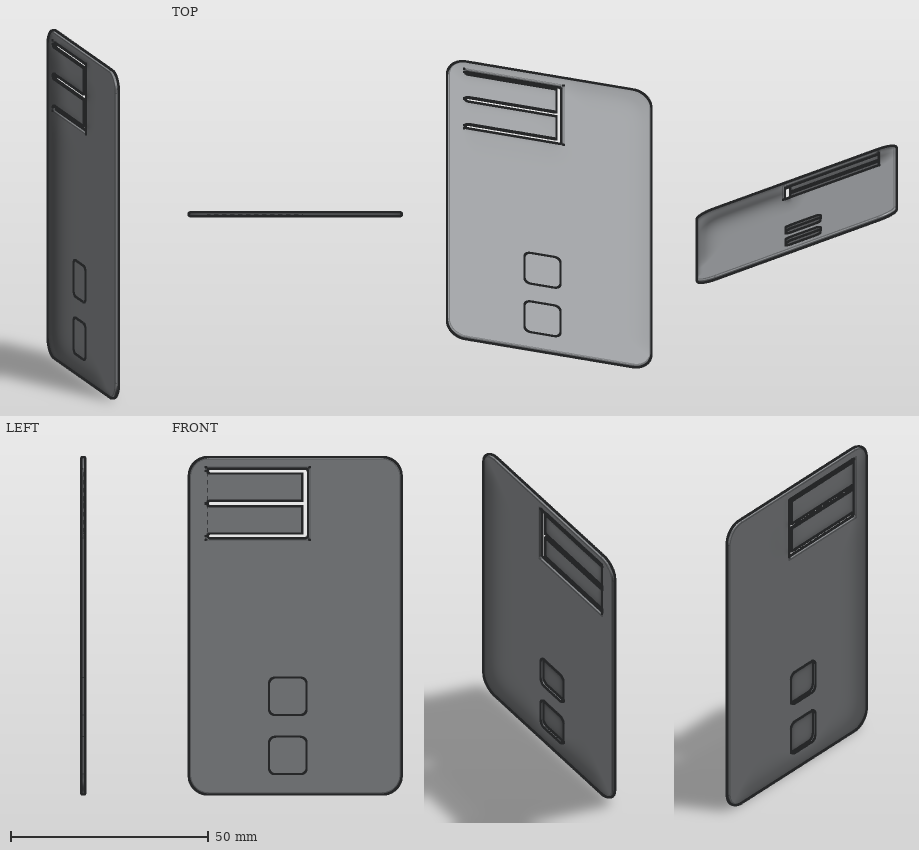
import cadquery as cq
import math

WIDTH = 54.0
HEIGHT = 85.6
THICKNESS = 1.0
CORNER_RADIUS = 5.0
EDGE_ROUND = 0.49
FRONT = -THICKNESS / 2

WINDOW_LEFT = -22.7
WINDOW_RIGHT = 3.7
WINDOW_BOTTOM = 21.7
WINDOW_TOP = 40.2
WINDOW_MIDDLE = (WINDOW_BOTTOM + WINDOW_TOP) / 2
WINDOW_CORNER_RADIUS = 0.6

FINGER_TIP = 1.8
FINGER_HEIGHT = 6.9
FINGER_GAP = 1.4
FINGER_THICKNESS = 0.4
ROOT_RADIUS = 0.6

POCKET_SIZE = 9.5
POCKET_CORNER_RADIUS = 1.5
POCKET_FLOOR = 0.2
POCKET_X = -1.9
POCKET_LOW = -32.9
POCKET_PITCH = 15.0


def round_window_corners(plate):
    for x in (WINDOW_LEFT, WINDOW_RIGHT):
        for z in (WINDOW_BOTTOM, WINDOW_TOP):
            lower_limit = (x - EDGE_ROUND, -THICKNESS, z - EDGE_ROUND)
            upper_limit = (x + EDGE_ROUND, THICKNESS, z + EDGE_ROUND)
            corner = cq.selectors.BoxSelector(lower_limit, upper_limit)
            plate = plate.edges(corner).fillet(WINDOW_CORNER_RADIUS)
    return plate


def make_plate():
    plate = cq.Workplane().box(WIDTH, THICKNESS, HEIGHT)
    plate = plate.edges("|Y").fillet(CORNER_RADIUS)
    window_width = WINDOW_RIGHT - WINDOW_LEFT - 2 * EDGE_ROUND
    window_height = WINDOW_TOP - WINDOW_BOTTOM - 2 * EDGE_ROUND
    window = cq.Workplane().box(window_width, THICKNESS, window_height)
    window = window.translate(((WINDOW_LEFT + WINDOW_RIGHT) / 2, 0, WINDOW_MIDDLE))
    plate = plate.cut(window).faces("<Y or >Y").edges().fillet(EDGE_ROUND)
    return round_window_corners(plate)


def make_finger(z_min):
    z_max = z_min + FINGER_HEIGHT
    root_start = WINDOW_LEFT + EDGE_ROUND
    root_end = root_start + ROOT_RADIUS
    arc_inset = ROOT_RADIUS * (1 - math.sqrt(0.5))
    profile = (
        cq.Workplane("XZ", origin=(0, FRONT, 0))
        .moveTo(WINDOW_LEFT, z_min - ROOT_RADIUS)
        .lineTo(root_start, z_min - ROOT_RADIUS)
        .threePointArc((root_start + arc_inset, z_min - arc_inset), (root_end, z_min))
        .lineTo(FINGER_TIP, z_min)
        .lineTo(FINGER_TIP, z_max)
        .lineTo(root_end, z_max)
        .threePointArc((root_start + arc_inset, z_max + arc_inset), (root_start, z_max + ROOT_RADIUS))
        .lineTo(WINDOW_LEFT, z_max + ROOT_RADIUS)
        .close()
    )
    return profile.extrude(-FINGER_THICKNESS)


def make_fingers():
    upper = make_finger(WINDOW_MIDDLE + FINGER_GAP / 2)
    lower = make_finger(WINDOW_MIDDLE - FINGER_GAP / 2 - FINGER_HEIGHT)
    return upper.union(lower)


def make_pocket(z):
    pocket = cq.Workplane().box(POCKET_SIZE, THICKNESS - POCKET_FLOOR, POCKET_SIZE)
    pocket = pocket.edges("|Y").fillet(POCKET_CORNER_RADIUS)
    return pocket.translate((POCKET_X, POCKET_FLOOR / 2, z))


result = make_plate().union(make_fingers())
for z in (POCKET_LOW, POCKET_LOW + POCKET_PITCH):
    result = result.cut(make_pocket(z))